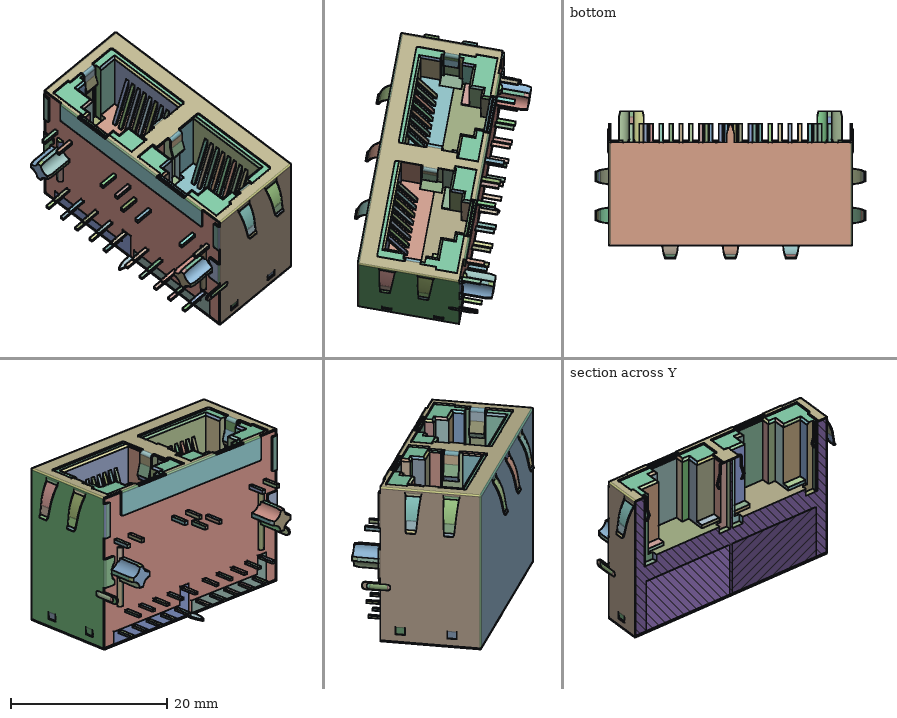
import cadquery as cq
import math


SHELL_WIDTH = 31.2
SHELL_DEPTH = 13.25
TOTAL_HEIGHT = 21.35
SHEET = 0.25
BEND = 0.2
PORT_PITCH = 13.96
PORT_CENTRES = (-PORT_PITCH / 2, PORT_PITCH / 2)
PIN_LENGTH = 2.42

HALF_WIDTH = SHELL_WIDTH / 2
INNER_HALF_WIDTH = HALF_WIDTH - SHEET
INNER_DEPTH = SHELL_DEPTH - SHEET
PLATE_UNDERSIDE = TOTAL_HEIGHT - SHEET

PORT_FLOOR = 11.55
PORT_HALF = 5.86
PORT_BACK = 10.15
LEDGE_Y = 3.35
STEP_HALF = 3.1
STEP_Y = 1.65
KEY_HALF = 2.02
KEY_Y = 0.47
LEAD_IN = 0.3
STOP_BACK = 4.4
STOP_HEIGHT = 0.5

OPENING_OUTER = 14.13
OPENING_INNER = 1.22
OPENING_BACK = 10.95
WIDE_OUTER = 14.47
WIDE_INNER = 0.56
WIDE_TOP = 3.24
OPENING_RADIUS = 0.25
KEY_NOTCH_WIDTH = 4.9
KEY_NOTCH_DEPTH = 0.2

SPRING_Y = (5.32, 7.32)
SPRING_OFFSET = 0.6
SPRING_ROOT = 0.15
SPRING_OVERLAP = 0.3
SPRING_SHANK_END = 1.7
SPRING_KNEE = (1.05, 3.25)
SPRING_TIP = (0.75, 3.95)
POCKET_Y = (4.77, 7.63)
POCKET_FLOOR = 10.5
POCKET_HALF = (5.12, 6.78)

POST_X = 12.69
POST_Z = 10.6
POST_LENGTH = 4.0
POST_REACH = 1.6
POST_TIP_HALF = 0.3
POST_TAPER_LENGTH = 0.7
POST_TAPER = 0.15
RIB_HALF = 0.44
RIB_HEIGHT = 0.47
RIB_CREST = 0.12
RIB_Z = (5.4, 13.65)

LED_PIN = 0.5
LED_PIN_OFFSETS = (3.9, 6.44)
LED_PIN_Z = 14.67
LED_PIN_LOW_Z = 12.9

INSERT_HALF = 6.73
INSERT_FOOT_TOP = 2.0
INSERT_LEG_TOP = 4.57
INSERT_LEG_X = (5.1, 5.22)
FRONT_WALL = 1.2
INSERT_BLOCK_TOP = 8.0
SHELF_FRONT = 5.73
PINS_PER_ROW = 5
PIN_PITCH = 2.54
PIN_ROW_START = -5.71
PIN_WIDTH = 0.5
PIN_THICKNESS = 0.3
PIN_LOWER_Z = 1.72
PIN_UPPER_Z = 4.25
CONTACT_COUNT = 8
CONTACT_PITCH = 1.02
CONTACT_WIDTH = 0.5
CONTACT_THICKNESS = 0.35
CONTACT_START_Y = 7.64
CONTACT_TOP = 18.5

FLAP_HALF = 12.54
FLAP_BOTTOM = 17.9
FLAP_RADIUS = 0.2
UPPER_TAB_Z = (15.65, 20.5)
UPPER_TAB_EDGE = 14.62
LOWER_TAB_Z = (8.73, 12.72)
LOWER_TAB_EDGE = 13.8
POST_CLEARANCE = 1.7
FINGER_REACH = 1.7
BACK_FINGER_REACH = 1.68
FINGER_SHEET = 0.15
FINGER_TOP = 0.5
FINGER_BOW_START = 0.85
FINGER_BOW_END = 3.8
FINGER_CREASE = 5.0
FINGER_END = 5.5
FINGER_ROOT_OUT = 0.1
FINGER_BOW_OUT = 1.25
FINGER_CREASE_OUT = 1.48
FINGER_SAG = 0.18
FINGER_ROOT_HALF = 1.0
FINGER_FLARE_HALF = 1.1
FINGER_NOSE_HALF = 0.68
FINGER_END_HALF = 0.5
FINGER_NOSE = 5.2
SIDE_FINGER_Y = (4.36, 9.36)
BACK_FINGER_PITCH = 7.73
LATCH_Y = (2.65, 9.43)
LATCH_WIDTH = 1.25
LATCH_Z = (1.2, 2.24)
BLADE_WIDTH = 1.0
BLADE_TIP_HALF = 0.1
BLADE_SHOULDER = 0.8
SIDE_PIN_Z = 7.57
BEAD_WIDTH = 0.82
BEAD_HEIGHT = 0.15
BEAD_Y = (-1.35, 0.95)


def block(x, y, z):
    """Box from three (low, high) ranges."""
    size = (x[1] - x[0], y[1] - y[0], z[1] - z[0])
    return cq.Workplane("XY").box(*size, centered=False).translate((x[0], y[0], z[0]))


def mirrored(shape):
    return shape.mirror("YZ")


def port_outline(grow):
    """Stepped jack outline about the port centre, widened all round by grow."""
    right = [
        (KEY_HALF + grow, KEY_Y - grow),
        (KEY_HALF + grow, STEP_Y - grow),
        (STEP_HALF + grow, STEP_Y - grow),
        (STEP_HALF + grow, LEDGE_Y - grow),
        (PORT_HALF + grow, LEDGE_Y - grow),
        (PORT_HALF + grow, PORT_BACK + grow),
    ]
    left = [(-x, y) for x, y in reversed(right)]
    return right + left


def port_cavity():
    depth = PLATE_UNDERSIDE - PORT_FLOOR
    bore = cq.Workplane("XY").workplane(offset=PORT_FLOOR).polyline(port_outline(0)).close().extrude(depth)
    lead_in = (
        cq.Workplane("XY").workplane(offset=PLATE_UNDERSIDE - LEAD_IN)
        .polyline(port_outline(0)).close()
        .workplane(offset=LEAD_IN)
        .polyline(port_outline(LEAD_IN)).close()
        .loft(ruled=True)
    )
    stop = block((STEP_HALF, PORT_HALF), (LEDGE_Y, STOP_BACK), (PORT_FLOOR, PORT_FLOOR + STOP_HEIGHT))
    return bore.union(lead_in).cut(stop).cut(mirrored(stop))


def spring_pockets():
    right = block(POCKET_HALF, POCKET_Y, (POCKET_FLOOR, PLATE_UNDERSIDE))
    return right.union(mirrored(right))


def contact(x):
    """Sloping spring contact rising from the shelf to the back wall of the port."""
    rise = (CONTACT_TOP - PORT_FLOOR) / (PORT_BACK - CONTACT_START_Y)
    outline = [
        (CONTACT_START_Y, PORT_FLOOR),
        (CONTACT_START_Y + CONTACT_THICKNESS, PORT_FLOOR),
        (PORT_BACK, CONTACT_TOP - rise * CONTACT_THICKNESS),
        (PORT_BACK, CONTACT_TOP),
    ]
    bar = cq.Workplane("YZ").polyline(outline).close().extrude(CONTACT_WIDTH / 2, both=True)
    return bar.translate((x, 0, 0))


def insert_pin(x, z):
    half_width = PIN_WIDTH / 2
    half_thick = PIN_THICKNESS / 2
    x_range = (x - half_width, x + half_width)
    z_range = (z - half_thick, z + half_thick)
    return block(x_range, (-PIN_LENGTH, FRONT_WALL), z_range)


def make_insert():
    foot = [
        (-INSERT_HALF, SHEET),
        (INSERT_HALF, SHEET),
        (INSERT_HALF, INSERT_LEG_TOP),
        (INSERT_LEG_X[1], INSERT_LEG_TOP),
        (INSERT_LEG_X[0], INSERT_FOOT_TOP),
        (-INSERT_HALF, INSERT_FOOT_TOP),
    ]
    body = cq.Workplane("XZ").polyline(foot).close().extrude(-FRONT_WALL)
    body = body.union(
        block((-INSERT_HALF, INSERT_HALF), (FRONT_WALL, PORT_BACK), (SHEET, INSERT_BLOCK_TOP))
    )
    shelf = block((-PORT_HALF, PORT_HALF), (SHELF_FRONT, PORT_BACK), (INSERT_BLOCK_TOP, PORT_FLOOR))
    corner = block((POCKET_HALF[0], PORT_HALF), (SHELF_FRONT, POCKET_Y[1]), (INSERT_BLOCK_TOP, PORT_FLOOR))
    body = body.union(shelf.cut(corner).cut(mirrored(corner)))
    for i in range(CONTACT_COUNT):
        body = body.union(contact((i - (CONTACT_COUNT - 1) / 2) * CONTACT_PITCH))
    for i in range(PINS_PER_ROW):
        lower_x = PIN_ROW_START + i * PIN_PITCH
        body = body.union(insert_pin(lower_x, PIN_LOWER_Z))
        body = body.union(insert_pin(lower_x + PIN_PITCH / 2, PIN_UPPER_Z))
    return body


def locating_post():
    """Four-pointed star with concave flanks, tapered at its end."""
    a = POST_REACH
    b = POST_TIP_HALF
    m = a - (a - b) * math.sqrt(0.5)
    star = (
        cq.Workplane("XZ").moveTo(a, -b).lineTo(a, b)
        .threePointArc((m, m), (b, a)).lineTo(-b, a)
        .threePointArc((-m, m), (-a, b)).lineTo(-a, -b)
        .threePointArc((-m, -m), (-b, -a)).lineTo(b, -a)
        .threePointArc((m, -m), (a, -b)).close()
        .extrude(POST_LENGTH)
    )
    envelope = (
        cq.Workplane("XZ").rect(2 * a, 2 * a).extrude(POST_LENGTH)
        .faces("<Y").chamfer(POST_TAPER_LENGTH, POST_TAPER)
    )
    return star.intersect(envelope).translate((POST_X, 0, POST_Z))


def standoff_rib():
    """Upright rib with bulged flanks and a narrow flat crest."""
    crest = RIB_CREST / 2
    bulge_x = 0.8 * RIB_HALF
    bulge_y = 0.65 * RIB_HEIGHT
    rib = (
        cq.Workplane("XY").moveTo(-RIB_HALF, 0)
        .threePointArc((-bulge_x, -bulge_y), (-crest, -RIB_HEIGHT)).lineTo(crest, -RIB_HEIGHT)
        .threePointArc((bulge_x, -bulge_y), (RIB_HALF, 0)).close()
        .extrude(RIB_Z[1] - RIB_Z[0])
    )
    return rib.translate((POST_X, 0, RIB_Z[0]))


def led_pin(x, z):
    h = LED_PIN / 2
    return block((x - h, x + h), (-PIN_LENGTH, 0), (z - h, z + h))


def make_housing(inserts):
    body = block((-INNER_HALF_WIDTH, INNER_HALF_WIDTH), (0, INNER_DEPTH), (SHEET, PLATE_UNDERSIDE))
    for part in (standoff_rib(), locating_post()):
        body = body.union(part).union(mirrored(part))
    for centre in PORT_CENTRES:
        body = body.cut(port_cavity().translate((centre, 0, 0)))
        body = body.cut(spring_pockets().translate((centre, 0, 0)))
        left_z = LED_PIN_Z if centre < 0 else LED_PIN_LOW_Z
        for offset in LED_PIN_OFFSETS:
            body = body.union(led_pin(centre - offset, left_z))
            body = body.union(led_pin(centre + offset, LED_PIN_Z))
    for insert in inserts:
        body = body.cut(insert)
    return body.cut(spring_reliefs())


def spring_profile():
    """Spring section: X runs in from the opening edge, Z down from the top of the shell."""
    outer_bend = SPRING_OFFSET - SPRING_ROOT
    inner_bend = outer_bend - SHEET
    shank_back = SPRING_OFFSET - SHEET
    knee_x, knee_depth = SPRING_KNEE
    tip_x, tip_depth = SPRING_TIP
    return (
        cq.Workplane("XZ").moveTo(-SPRING_OVERLAP, 0).lineTo(SPRING_ROOT, 0)
        .radiusArc((SPRING_OFFSET, -outer_bend), outer_bend)
        .lineTo(SPRING_OFFSET, -SPRING_SHANK_END)
        .lineTo(knee_x, -knee_depth).lineTo(tip_x, -tip_depth)
        .lineTo(tip_x - SHEET, -tip_depth).lineTo(knee_x - SHEET, -knee_depth)
        .lineTo(shank_back, -SPRING_SHANK_END).lineTo(shank_back, -outer_bend)
        .radiusArc((SPRING_ROOT, -SHEET), -inner_bend)
        .lineTo(-SPRING_OVERLAP, -SHEET).close()
    )


def port_springs():
    """The two springs of the +X port, each rooted in one side of the opening."""
    width = SPRING_Y[1] - SPRING_Y[0]
    spring = spring_profile().extrude(-width).translate((0, SPRING_Y[0], TOTAL_HEIGHT))
    inner = spring.translate((OPENING_INNER, 0, 0))
    outer = mirrored(spring).translate((OPENING_OUTER, 0, 0))
    return inner.union(outer)


def spring_reliefs():
    """Recess in the port wall that clears the bent root of the outer springs."""
    x = (OPENING_OUTER - SPRING_OFFSET, OPENING_OUTER - SPRING_ROOT)
    right = block(x, SPRING_Y, (POCKET_FLOOR, PLATE_UNDERSIDE))
    return right.union(mirrored(right))


def opening_cut():
    above = (PLATE_UNDERSIDE, TOTAL_HEIGHT)
    main = block((OPENING_INNER, OPENING_OUTER), (KEY_Y, OPENING_BACK), above)
    main = main.edges("|Z and >Y").fillet(OPENING_RADIUS)
    wide = block((WIDE_INNER, WIDE_OUTER), (KEY_Y, WIDE_TOP), above)
    centre = PORT_PITCH / 2
    notch = block(
        (centre - KEY_NOTCH_WIDTH / 2, centre + KEY_NOTCH_WIDTH / 2),
        (-SHEET, KEY_Y),
        (TOTAL_HEIGHT - KEY_NOTCH_DEPTH, above[1]),
    )
    return main.union(wide).union(notch)


def finger(reach, centre, angle, wall):
    """Ground finger bowed out of a wall; angle 0 faces +X, 90 faces +Y."""
    t = FINGER_SHEET
    bow_length = math.hypot(FINGER_BOW_OUT - FINGER_ROOT_OUT, FINGER_BOW_END - FINGER_BOW_START)
    normal_x = (FINGER_BOW_END - FINGER_BOW_START) / bow_length
    normal_z = (FINGER_BOW_OUT - FINGER_ROOT_OUT) / bow_length
    mid_x = (FINGER_ROOT_OUT + FINGER_BOW_OUT) / 2 + FINGER_SAG * normal_x
    mid_z = -(FINGER_BOW_START + FINGER_BOW_END) / 2 + FINGER_SAG * normal_z
    side = (
        cq.Workplane("XZ").moveTo(0, -FINGER_TOP).lineTo(FINGER_ROOT_OUT, -FINGER_BOW_START)
        .threePointArc((mid_x, mid_z), (FINGER_BOW_OUT, -FINGER_BOW_END))
        .lineTo(FINGER_CREASE_OUT, -FINGER_CREASE).lineTo(reach, t - FINGER_END)
        .lineTo(reach - t, -FINGER_END).lineTo(FINGER_CREASE_OUT - t, -FINGER_CREASE)
        .lineTo(FINGER_BOW_OUT - t, -FINGER_BOW_END)
        .threePointArc((mid_x - t * normal_x, mid_z - t * normal_z), (FINGER_ROOT_OUT - t, -FINGER_BOW_START))
        .lineTo(-t, -FINGER_TOP).close()
        .extrude(FINGER_FLARE_HALF, both=True)
    )
    right_edge = [
        (FINGER_FLARE_HALF, -FINGER_TOP),
        (FINGER_ROOT_HALF, -FINGER_BOW_START),
        (FINGER_NOSE_HALF, -FINGER_NOSE),
        (FINGER_END_HALF, -FINGER_END),
    ]
    outline = right_edge + [(-y, z) for y, z in reversed(right_edge)]
    blank = cq.Workplane("YZ").polyline(outline).close().extrude(2 * reach, both=True)
    strip = side.intersect(blank).translate((wall, centre, TOTAL_HEIGHT))
    return strip.rotate((0, 0, 0), (0, 0, 1), angle)


def round_ended_blade():
    """Solder blade of sheet thickness lying flat on Z, pointing to -Y from Y = 0."""
    r = BLADE_WIDTH / 2
    return (
        cq.Workplane("XY").moveTo(-r, 0).lineTo(-r, r - PIN_LENGTH)
        .threePointArc((0, -PIN_LENGTH), (r, r - PIN_LENGTH)).lineTo(r, 0).close()
        .extrude(SHEET)
    )


def side_pin():
    blade = round_ended_blade().rotate((0, 0, 0), (0, 1, 0), 90)
    blade = blade.translate((HALF_WIDTH - SHEET, 0, SIDE_PIN_Z))
    radius = (BEAD_WIDTH ** 2 / 4 + BEAD_HEIGHT ** 2) / (2 * BEAD_HEIGHT)
    bead = cq.Workplane("XZ").circle(radius).extrude(BEAD_Y[0] - BEAD_Y[1])
    bead = bead.translate((0, BEAD_Y[0], 0))
    for y in BEAD_Y:
        bead = bead.union(cq.Workplane("XY").sphere(radius).translate((0, y, 0)))
    bead = bead.translate((HALF_WIDTH + BEAD_HEIGHT - radius, 0, SIDE_PIN_Z))
    outside = block((HALF_WIDTH, HALF_WIDTH + radius), (-PIN_LENGTH, PIN_LENGTH), (0, TOTAL_HEIGHT))
    return blade.union(bead.intersect(outside))


def front_tab(edge, z):
    tab = block((edge, HALF_WIDTH), (-SHEET, 0), z)
    return tab.edges("|Y and <X").fillet(BEND).edges("|Z and >X and <Y").fillet(BEND)


def latch_dimple(y):
    """Wedge recess that deepens downward to a flat ledge."""
    low, high = LATCH_Z
    wedge = (
        cq.Workplane("XZ").moveTo(HALF_WIDTH, high).lineTo(HALF_WIDTH, low)
        .lineTo(HALF_WIDTH - BEND, low).close().extrude(LATCH_WIDTH / 2, both=True)
    )
    return wedge.translate((0, y, 0))


def make_shell():
    body = block((-HALF_WIDTH, HALF_WIDTH), (0, SHELL_DEPTH), (SHEET, TOTAL_HEIGHT))
    flap = block((-FLAP_HALF, FLAP_HALF), (-SHEET, 0), (FLAP_BOTTOM, TOTAL_HEIGHT))
    flap = flap.edges("|Y and <Z").fillet(FLAP_RADIUS).edges("|X and >Z and <Y").fillet(BEND)
    body = body.edges("(>Z and (not <Y)) or (|Z and >Y)").fillet(BEND)
    body = body.union(flap)
    body = body.cut(
        block((-INNER_HALF_WIDTH, INNER_HALF_WIDTH), (0, INNER_DEPTH), (0, PLATE_UNDERSIDE))
    )
    clearance = cq.Workplane("XZ").circle(POST_CLEARANCE).extrude(SHEET).translate((POST_X, 0, POST_Z))
    lower_tab = front_tab(LOWER_TAB_EDGE, LOWER_TAB_Z).cut(clearance)
    right_side = [front_tab(UPPER_TAB_EDGE, UPPER_TAB_Z), lower_tab, side_pin(), port_springs()]
    right_side += [finger(FINGER_REACH, y, 0, HALF_WIDTH) for y in SIDE_FINGER_Y]
    body = body.cut(opening_cut()).cut(mirrored(opening_cut()))
    for piece in right_side:
        body = body.union(piece).union(mirrored(piece))
    for i in (-1, 0, 1):
        body = body.union(finger(BACK_FINGER_REACH, i * BACK_FINGER_PITCH, 90, SHELL_DEPTH))
    for y in LATCH_Y:
        dimple = latch_dimple(y)
        body = body.cut(dimple).cut(mirrored(dimple))
    return body


def pointed_blade():
    """Solder blade with curved flanks running to a narrow tip."""
    half = BLADE_WIDTH / 2
    flank_y = (BLADE_SHOULDER + PIN_LENGTH) / 2
    flank_x = 0.75 * half
    return (
        cq.Workplane("XY").moveTo(-half, 0).lineTo(-half, -BLADE_SHOULDER)
        .threePointArc((-flank_x, -flank_y), (-BLADE_TIP_HALF, -PIN_LENGTH))
        .lineTo(BLADE_TIP_HALF, -PIN_LENGTH)
        .threePointArc((flank_x, -flank_y), (half, -BLADE_SHOULDER))
        .lineTo(half, 0).close()
        .extrude(SHEET)
    )


def make_cover():
    plate = block((-HALF_WIDTH, HALF_WIDTH), (0, SHELL_DEPTH), (0, SHEET))
    plate = plate.edges("(<Z and (not <Y)) or (|Z and >Y)").fillet(BEND)
    return plate.union(pointed_blade())


inserts = [make_insert().translate((centre, 0, 0)) for centre in PORT_CENTRES]
shell = make_shell()
housing = make_housing(inserts)
cover = make_cover()

result = cq.Compound.makeCompound([
    shell.val(),
    housing.val(),
    *[insert.val() for insert in inserts],
    cover.val(),
])